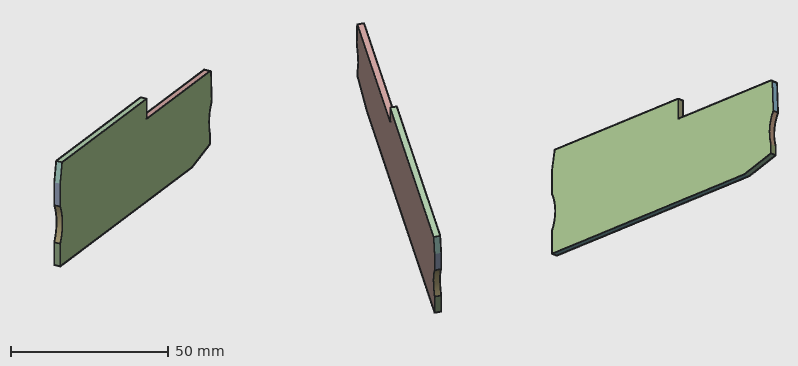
import cadquery as cq
import math

thickness = 2.2
length = 99.83
height = 36.0

front_y = -length / 2
corner_run = 1.25
shoulder_z = 29.0
front_hollow_top_z = 21.0
front_hollow_bottom_z = 8.0
front_hollow_depth = 1.48

step_length = 57.0
step_y = front_y + step_length

back_y = length / 2
back_lean = 0.48
back_corner_chamfer = 0.5
back_hollow_radius = 14.7
back_hollow_depth = 1.73
back_hollow_center_z = 11.1
back_foot_inset = 1.05

slope_run = 12.0
slope_rise = 3.47

front_hollow_mid = (
    front_y + front_hollow_depth,
    (front_hollow_top_z + front_hollow_bottom_z) / 2,
)

back_hollow_bottom_y = back_y - back_hollow_depth
back_hollow_center_y = back_hollow_bottom_y + back_hollow_radius
back_foot_y = back_y - back_foot_inset


def back_hollow_half_chord(y):
    """Height above or below the hollow's center at which its circle reaches y."""
    return math.sqrt(back_hollow_radius**2 - (back_hollow_center_y - y) ** 2)


back_hollow_top_z = back_hollow_center_z + back_hollow_half_chord(back_y)
back_hollow_end_z = back_hollow_center_z - back_hollow_half_chord(back_foot_y)


def make_plate():
    """Extrude the outline, running up the front end and back along the top."""
    outline = (
        cq.Workplane("YZ")
        .moveTo(front_y, 0)
        .lineTo(front_y, front_hollow_bottom_z)
        .threePointArc(front_hollow_mid, (front_y, front_hollow_top_z))
        .lineTo(front_y, shoulder_z)
        .lineTo(front_y + corner_run, height)
        .lineTo(step_y, height)
        .lineTo(step_y, shoulder_z)
        .lineTo(back_y - back_lean, shoulder_z)
        .lineTo(back_y, back_hollow_top_z)
        .threePointArc(
            (back_hollow_bottom_y, back_hollow_center_z),
            (back_foot_y, back_hollow_end_z),
        )
        .lineTo(back_foot_y, slope_rise)
        .lineTo(back_foot_y - slope_run, 0)
        .close()
    )
    return outline.extrude(thickness / 2, both=True)


def chamfer_back_corner(plate):
    """Chamfer the upper corner of the back end."""
    corner = cq.selectors.NearestToPointSelector((0, back_y - back_lean, shoulder_z))
    return plate.edges("|X").edges(corner).chamfer(back_corner_chamfer)


result = chamfer_back_corner(make_plate())